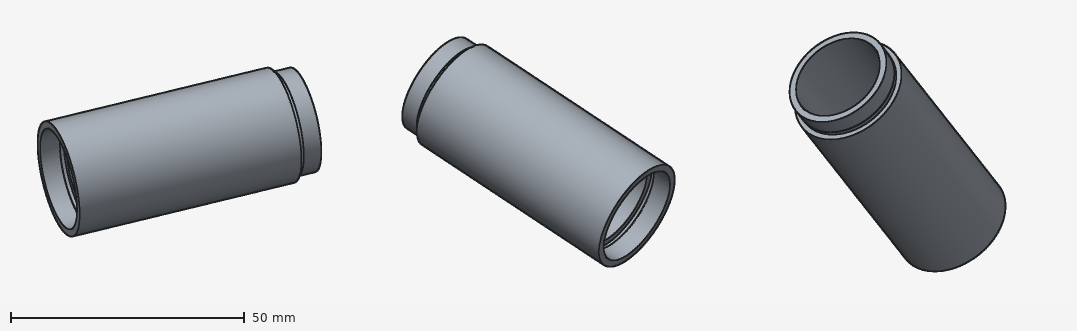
import cadquery as cq

total_length = 55.8
body_diameter = 25.4
bore_diameter = 20.0

spigot_length = 5.0
spigot_diameter = 23.1
relief_width = 1.0
relief_diameter = 22.95

socket_diameter = 22.15
socket_depth = 5.5

undercut_width = 1.0
undercut_diameter = 23.1

front_y = -total_length / 2
back_y = total_length / 2
shoulder_y = back_y - spigot_length


def cylinder_along_y(diameter, start_y, length):
    """Solid cylinder running toward +Y from start_y."""
    base = cq.Workplane("XZ", origin=(0, start_y, 0))
    return base.circle(diameter / 2).extrude(-length)


body = cylinder_along_y(body_diameter, front_y, total_length - spigot_length)
relief = cylinder_along_y(relief_diameter, shoulder_y, relief_width)
spigot = cylinder_along_y(spigot_diameter, shoulder_y + relief_width, spigot_length - relief_width)

bore = cylinder_along_y(bore_diameter, front_y, total_length)
socket = cylinder_along_y(socket_diameter, front_y, socket_depth)
undercut = cylinder_along_y(undercut_diameter, front_y + socket_depth - undercut_width, undercut_width)

result = body.union(relief).union(spigot).cut(bore).cut(socket).cut(undercut)